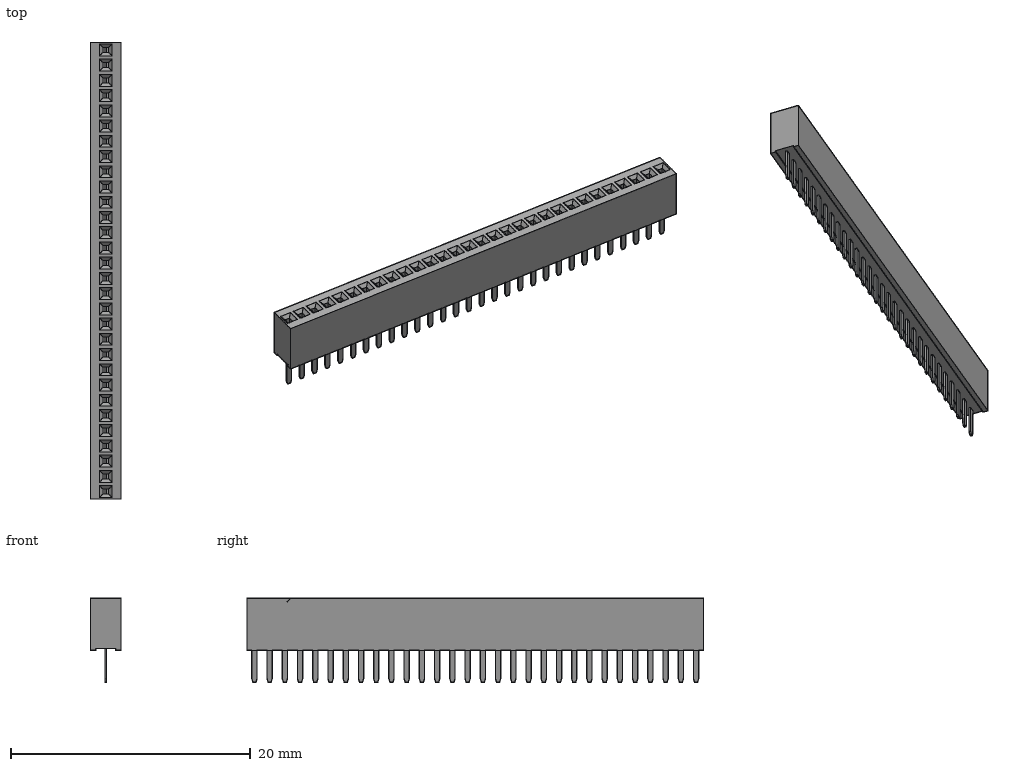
import cadquery as cq

strip_length = 38.1
body_width = 2.55
total_height = 7.0
body_height = 4.35

contact_count = 30
pitch = strip_length / contact_count

relief_width = 1.65
relief_depth = 0.135

entry_width = 1.05
entry_length = 1.0
entry_depth = 0.285
hole_width = entry_width - 2 * entry_depth
hole_length = entry_length - 2 * entry_depth
hole_depth = 1.52

pin_thickness = 0.15
pin_width = 0.45
pin_top_depth = 0.75
tip_width = 0.25
tip_height = 0.3

body_bottom = total_height - body_height
pin_top = total_height - pin_top_depth

first_contact_y = (pitch - strip_length) / 2
contact_positions = [(0, first_contact_y + i * pitch) for i in range(contact_count)]


def make_body():
    """Long block with a relief channel running the full length underneath."""
    block = cq.Workplane("XY").box(
        body_width, strip_length, body_height, centered=(True, True, False)
    )
    channel = cq.Workplane("XY").box(
        relief_width, strip_length, relief_depth, centered=(True, True, False)
    )
    return block.cut(channel).translate((0, 0, body_bottom))


def make_entry():
    """Tapered lead-in and blind hole for one contact, open at the top."""
    funnel = (
        cq.Workplane("XY")
        .workplane(offset=total_height)
        .rect(entry_width, entry_length)
        .workplane(offset=-entry_depth)
        .rect(hole_width, hole_length)
        .loft(ruled=True)
    )
    hole = (
        cq.Workplane("XY")
        .workplane(offset=total_height - hole_depth)
        .rect(hole_width, hole_length)
        .extrude(hole_depth - entry_depth)
    )
    return funnel.union(hole)


def make_pin():
    """Flat pin with a tapered tip, reaching up into the contact hole."""
    outline = [
        (-tip_width / 2, 0),
        (tip_width / 2, 0),
        (pin_width / 2, tip_height),
        (pin_width / 2, pin_top),
        (-pin_width / 2, pin_top),
        (-pin_width / 2, tip_height),
    ]
    return cq.Workplane("YZ").polyline(outline).close().extrude(pin_thickness / 2, both=True)


def at_contacts(shape):
    """Copy a shape to every contact position."""
    solid = shape.val()
    points = cq.Workplane("XY").pushPoints(contact_positions)
    return points.eachpoint(lambda place: solid.moved(place))


result = make_body().cut(at_contacts(make_entry())).union(at_contacts(make_pin()))